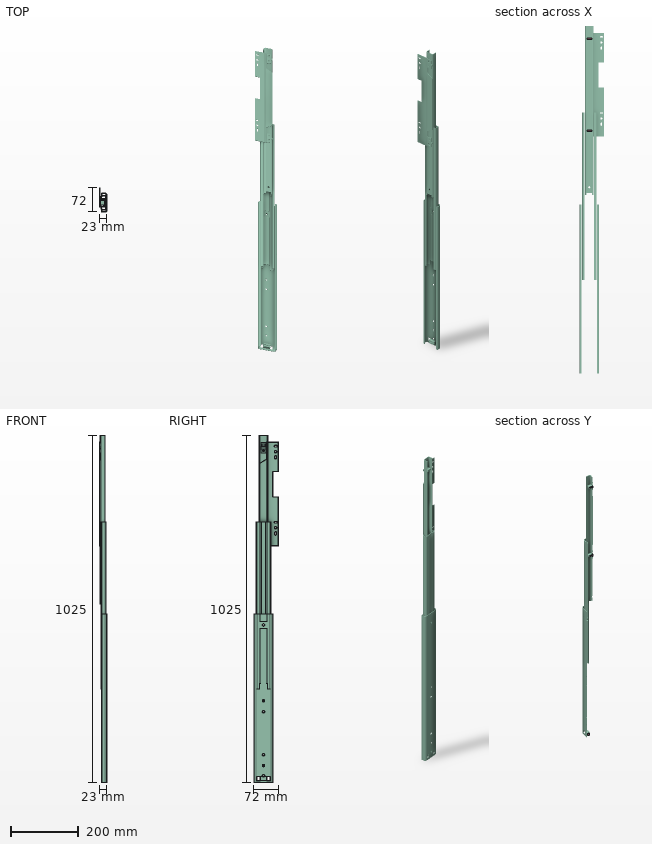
import cadquery as cq


total_length = 1025.0
total_width = 72.0
total_depth = 23.0
sheet = 1.5
cut_reach = 102.0

outer_length = 498.0
outer_half_width = 56.0 / 2
outer_front = 6.7
outer_lip_half_gap = 23.0
outer_lip_radius, outer_web_radius = 2.0, 6.0
outer_hole_diameter = 6.0
outer_hole_heights = [20.0, 82.0, 209.0]
sunk_hole_heights = [50.0, 242.0]
sunk_hole_diameter, sink_diameter = 4.0, 7.0
outer_window_inner, outer_window_outer = 10.0, 19.0
outer_window_bottom, outer_window_top = 6.0, 17.0

middle_bottom = 276.0
middle_top = 770.0
middle_half_width = 22.0
middle_front, middle_back = 5.6, 20.0
middle_lip_half_gap = 14.0
middle_lip_radius, middle_web_radius = 4.0, 4.0
rib_base_half_width, rib_top_half_width = 9.7, 6.0
rib_height = 1.5
middle_notch_half_width, middle_notch_depth = 11.0, 16.0
pad_half_width, pad_length = 8.0, 20.0
pad_thickness = 1.0
pad_height = 465.0
pad_hole_diameter = 6.0

inner_bottom = 527.0
inner_half_width = 26.0 / 2
inner_front, inner_back = 2.6, 17.0
inner_corner_radius = 3.6
inner_notch_half_width, inner_notch_depth = 8.7, 6.0
inner_hole_diameter, inner_hole_height = 6.0, 549.0

bracket_bottom, bracket_top = 699.0, 1006.0
bracket_ends = [(bracket_top, -1), (bracket_bottom, 1)]
bracket_edge = total_width - outer_half_width
bracket_jog_start, bracket_jog_end = 13.0, 10.0
bracket_inner_edge = -12.0
bracket_gap_bottom, bracket_gap_top = 844.0, 918.0
bracket_gap_edge = 28.0
bracket_hole_y = 36.0
slot_length, slot_width = 9.0, 4.0
bracket_hole_diameter = 6.0
oval_length = 10.0
upper_slot_height, lower_slot_height = 993.0, 769.0
bracket_hole_drop, bracket_oval_drop = 16.0, 33.0
relief_edge = 8.0
relief_depth_short, relief_depth_long = 51.0, 64.0

clip_half_width, clip_length = 7.7, 31.0
clip_offset = 2.0
clip_window_width, clip_window_height = 8.0, 6.0
clip_hole_diameter = 5.0
clip_feature_offset = 8.0
clip_tab_height = 6.0
clip_stem_back = 15.0
stop_half_width, stop_front = 10.0, 12.0
stop_groove = 2.0


def box(x_range, y_range, z_range):
    """Box between two limits along each axis."""
    size = [high - low for low, high in (x_range, y_range, z_range)]
    return cq.Workplane("XY").box(*size, centered=False).translate((x_range[0], y_range[0], z_range[0]))


def cross_bar(y, z, diameter):
    """Round cutter along X."""
    return cq.Workplane("YZ").center(y, z).circle(diameter / 2).extrude(cut_reach)


def slot_bar(y, z, length, width, angle):
    """Slot-shaped cutter along X; angle 0 runs along Y and 90 along Z."""
    return cq.Workplane("YZ").center(y, z).slot2D(length, width, angle).extrude(cut_reach)


def rounded_bar(x_range, half_width, front_radius, back_radius, z_range):
    """Bar along Z whose corners are rounded differently at -X (front) and +X (back)."""
    bar = box(x_range, (-half_width, half_width), z_range)
    bar = bar.edges("|Z and <X").fillet(front_radius)
    return bar.edges("|Z and >X").fillet(back_radius)


def lipped_rail(front, back, half_width, lip_radius, web_radius, lip_half_gap, z_range):
    """Sheet-metal C channel with its web at +X and its lips at -X."""
    rail = rounded_bar((front, back), half_width, lip_radius, web_radius, z_range)
    inside = rounded_bar(
        (front + sheet, back - sheet), half_width - sheet, lip_radius - sheet, web_radius - sheet, z_range
    )
    opening = box((front, front + 2 * sheet), (-lip_half_gap, lip_half_gap), z_range)
    return rail.cut(inside).cut(opening)


def make_outer_rail():
    rail = lipped_rail(
        outer_front, total_depth, outer_half_width,
        outer_lip_radius, outer_web_radius, outer_lip_half_gap, (0, outer_length),
    )
    for height in outer_hole_heights + [pad_height]:
        rail = rail.cut(cross_bar(0, height, outer_hole_diameter))
    for height in sunk_hole_heights:
        web_face = cq.Vector(total_depth - sheet, 0, height)
        sink = cq.Solid.makeCone(
            sink_diameter / 2, sunk_hole_diameter / 2, sheet, web_face, cq.Vector(1, 0, 0)
        )
        rail = rail.cut(cq.Workplane(sink))
    for y_range in [
        (outer_window_inner, outer_window_outer),
        (-outer_window_outer, -outer_window_inner),
    ]:
        rail = rail.cut(box((0, cut_reach), y_range, (outer_window_bottom, outer_window_top)))
    return rail


def rib_bar(back, z_range):
    """Trapezoid bar along Z, its wide side at the given X and its narrow side towards -X."""
    return (
        cq.Workplane("XY")
        .workplane(offset=z_range[0])
        .polyline([
            (back, rib_base_half_width),
            (back - rib_height, rib_top_half_width),
            (back - rib_height, -rib_top_half_width),
            (back, -rib_base_half_width),
        ])
        .close()
        .extrude(z_range[1] - z_range[0])
    )


def make_middle_rail():
    rail = lipped_rail(
        middle_front, middle_back, middle_half_width,
        middle_lip_radius, middle_web_radius, middle_lip_half_gap, (middle_bottom, middle_top),
    )
    pad_bottom, pad_top = pad_height - pad_length / 2, pad_height + pad_length / 2
    for z_range in ((middle_bottom, pad_bottom), (pad_top, middle_top)):
        rail = rail.union(rib_bar(middle_back - sheet, z_range))
        rail = rail.cut(rib_bar(middle_back, z_range))
    web_face = middle_back - sheet
    pad = box((web_face - pad_thickness, web_face), (-pad_half_width, pad_half_width), (pad_bottom, pad_top))
    rail = rail.union(pad).cut(cross_bar(0, pad_height, pad_hole_diameter))
    end_notch = box(
        (0, cut_reach),
        (-middle_notch_half_width, middle_notch_half_width),
        (middle_bottom, middle_bottom + middle_notch_depth),
    )
    return rail.cut(end_notch)


def clip_middle(end, inward):
    """Height of the middle of the clip next to one end of the bracket."""
    return end + inward * (clip_offset + clip_length / 2)


def clip_stem(middle):
    """Stem that passes through the inner rail's web into its channel."""
    return box(
        (inner_front, clip_stem_back),
        (-clip_half_width, clip_half_width),
        (middle - clip_tab_height / 2, middle + clip_tab_height / 2),
    )


def make_inner_rail():
    """Channel that is open at +X, with a window in its web for each clip's stem."""
    z_range = (inner_bottom, total_length)
    walls = box((inner_front, inner_back), (-inner_half_width, inner_half_width), z_range)
    rail = walls.edges("|Z and <X").fillet(inner_corner_radius)
    inside = box(
        (inner_front + sheet, inner_back),
        (sheet - inner_half_width, inner_half_width - sheet),
        z_range,
    )
    rail = rail.cut(inside.edges("|Z and <X").fillet(inner_corner_radius - sheet))
    end_notch = box(
        (0, inner_front + 2 * sheet),
        (-inner_notch_half_width, inner_notch_half_width),
        (inner_bottom, inner_bottom + inner_notch_depth),
    )
    rail = rail.cut(end_notch).cut(cross_bar(0, inner_hole_height, inner_hole_diameter))
    for end, inward in bracket_ends:
        rail = rail.cut(clip_stem(clip_middle(end, inward)))
    return rail


def make_bracket():
    """Plate that steps back onto the inner rail's web, with its free edge at +Y."""
    jog = inner_front - sheet
    plate = (
        cq.Workplane("XY")
        .polyline([
            (0, bracket_edge),
            (0, bracket_jog_start),
            (jog, bracket_jog_end),
            (jog, bracket_inner_edge),
            (jog + sheet, bracket_inner_edge),
            (jog + sheet, bracket_jog_end),
            (sheet, bracket_jog_start),
            (sheet, bracket_edge),
        ])
        .close()
        .extrude(bracket_top - bracket_bottom)
        .translate((0, 0, bracket_bottom))
    )
    gap = box((0, cut_reach), (bracket_gap_edge, cut_reach), (bracket_gap_bottom, bracket_gap_top))
    plate = plate.cut(gap)
    for end, inward in bracket_ends:
        relief = (
            cq.Workplane("YZ")
            .polyline([
                (relief_edge, end),
                (relief_edge, end + inward * relief_depth_short),
                (bracket_inner_edge, end + inward * relief_depth_long),
                (bracket_inner_edge, end),
            ])
            .close()
            .extrude(cut_reach)
        )
        plate = plate.cut(relief)
    for height in (upper_slot_height, lower_slot_height):
        plate = plate.cut(slot_bar(bracket_hole_y, height, slot_length, slot_width, 0))
        plate = plate.cut(cross_bar(bracket_hole_y, height - bracket_hole_drop, bracket_hole_diameter))
        oval_height = height - bracket_oval_drop
        plate = plate.cut(slot_bar(bracket_hole_y, oval_height, oval_length, slot_width, 90))
    return plate


def make_clip(end, inward):
    """Clip on the inner rail's web, near one end of the bracket."""
    middle = clip_middle(end, inward)
    x_range = (inner_front - sheet, inner_front)
    clip = box(
        x_range,
        (-clip_half_width, clip_half_width),
        (middle - clip_length / 2, middle + clip_length / 2),
    )
    tab = box(
        x_range,
        (bracket_inner_edge, 0),
        (middle - clip_tab_height / 2, middle + clip_tab_height / 2),
    )
    window_middle = middle - inward * clip_feature_offset
    window = box(
        (0, cut_reach),
        (-clip_window_width / 2, clip_window_width / 2),
        (window_middle - clip_window_height / 2, window_middle + clip_window_height / 2),
    )
    hole = cross_bar(0, middle + inward * clip_feature_offset, clip_hole_diameter)
    return clip.union(tab).cut(window).cut(hole).union(clip_stem(middle))


def make_stop_block():
    """Block on the outer rail's web, between the two end windows, with a groove across its face."""
    y_range = (-stop_half_width, stop_half_width)
    block = box((stop_front, total_depth - sheet), y_range, (outer_window_bottom, outer_window_top))
    groove_bottom = (outer_window_bottom + outer_window_top - stop_groove) / 2
    groove_range = (groove_bottom, groove_bottom + stop_groove)
    return block.cut(box((stop_front, stop_front + stop_groove), y_range, groove_range))


outer_rail = make_outer_rail()
middle_rail = make_middle_rail()
inner_rail = make_inner_rail()
bracket = make_bracket()
clips = [make_clip(end, inward) for end, inward in bracket_ends]
stop_block = make_stop_block()

result = cq.Compound.makeCompound([
    outer_rail.val(),
    middle_rail.val(),
    inner_rail.val(),
    bracket.val(),
    *[clip.val() for clip in clips],
    stop_block.val(),
])